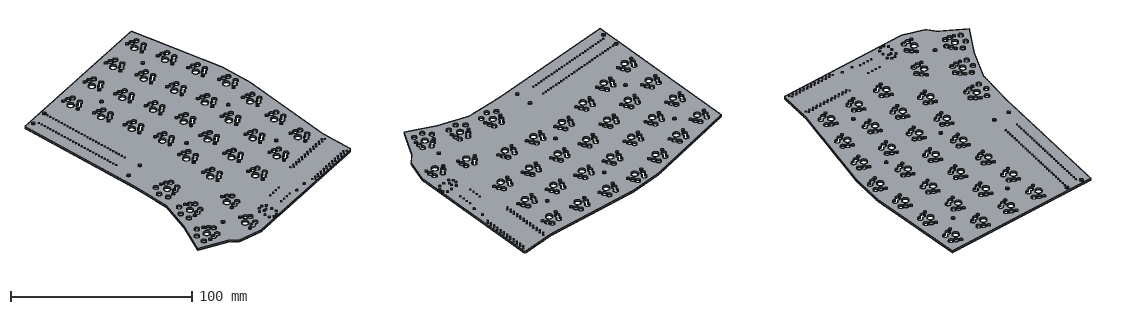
import cadquery as cq


BOARD_WIDTH = 153.0
BOARD_LENGTH = 121.3
THICKNESS = 1.5
TOP_Y = 104.0
TIP_Y = TOP_Y - BOARD_LENGTH
SQUARE_CORNER = (BOARD_WIDTH, 96.7)
SQUARE_CORNER_RADIUS = 0.8
OUTLINE = [
    (0, 0),
    (0, 95.5),
    (57.0, TOP_Y),
    (76.3, TOP_Y),
    (133.1, SQUARE_CORNER[1]),
    SQUARE_CORNER,
    (BOARD_WIDTH, 15.8),
    (148.5, 2.5),
    (143.7, -1.8),
    (134.5, TIP_Y),
    (117.8, -8.1),
    (100.0, -1.2),
    (77.5, 0),
]

PIN_PITCH = 28.0 / 11
HALF_PITCH = PIN_PITCH / 2

SWITCH_CENTRE_DIAMETER = 4.1
THUMB_CENTRE_DIAMETER = 4.0
SWITCH_SIDE_DIAMETER = 1.8
SWITCH_PIN_DIAMETER = 3.0
SWITCH_SIDE_REACH = 2 * PIN_PITCH
LOW_PROFILE_PIN_DROP = 6.0
LOW_PROFILE_SIDE_PIN = (5.0, 3.8)

KEY_PITCH = 114.5 / 6
FIRST_KEY_X = 9.5
FIRST_COLUMN_TOP_Y = 86.1
COLUMN_STEP_Y = 5.9 / 3
COLUMN_STEPS = [0, 1.5, 3, 4.6, 3, 1.5, 0]
COLUMN_KEY_COUNTS = [4, 4, 4, 4, 4, 4, 3]

TURNED_KEYS = [(124.5, 21.5, -20), (142.5, 15.0, -20)]
THUMB_KEYS = [(92.3, 9.5, -10), (112.3, 4.1, -20), (131.0, -4.6, -30)]

SCREW_DIAMETER = 2.1
BOARD_SCREWS = [(20.5, 79.5), (77.9, 82.6), (116.1, 76.7), (21.3, 41.6), (78.3, 44.7), (132.5, 8.0)]
DISPLAY_SCREWS = [(x, y) for x in (2.1, 68.8) for y in (4.9, 14.8)]

HEADER_DIAMETER = 0.81
DISPLAY_PIN_COUNT = 28
DISPLAY_PIN_PITCH = 54.0 / (DISPLAY_PIN_COUNT - 1)
DISPLAY_FIRST_PIN = (4.5, 7.0)
DISPLAY_ROW_GAP = 3 * PIN_PITCH

CONTROLLER_PIN_COUNT = 12
CONTROLLER_FIRST_PIN = (135.3, 64.9)
CONTROLLER_ROW_GAP = 6 * PIN_PITCH

SMALL_HEADER_PIN_COUNT = 4
SMALL_HEADER_FIRST_PIN = (140.1, 40.5)
SMALL_HEADER_ROW_GAP = 3 * PIN_PITCH

RESET_DIAMETER = 1.3
RESET_PINS = [(149.2, 52.8), (149.2, 59.4)]

JACK_AXIS_Y = 29.8
JACK_PIN_DIAMETER = 1.3
JACK_OUTER_PINS_X = [143.4, 147.2, 150.2]
JACK_OUTER_OFFSET = 3.0
JACK_INNER_PINS_X = [141.7, 152.1]
JACK_INNER_OFFSET = 1.0
JACK_PEG_DIAMETER = 1.2
JACK_PEG_X = 144.9
JACK_PEG_OFFSET = 0.8


def drill(points, diameter):
    """Cutters for through holes of one diameter at the given points."""
    return cq.Workplane("XY").pushPoints(points).circle(diameter / 2).extrude(THICKNESS)


def mirrored_in_x(points):
    return points + [(-x, y) for x, y in points]


def placed(points, key):
    """Points given relative to a key, moved to its place and angle on the board."""
    key_x, key_y, angle = key
    frame = cq.Location(cq.Vector(key_x, key_y, 0), cq.Vector(0, 0, 1), angle)
    moved = [(frame * cq.Location(cq.Vector(x, y, 0))).toTuple()[0] for x, y in points]
    return [(x, y) for x, y, _ in moved]


def pin_grid(first_pin, columns, rows, column_gap, row_gap):
    first_x, first_y = first_pin
    return [(first_x + i * column_gap, first_y + j * row_gap) for i in range(columns) for j in range(rows)]


def mirrored_about_jack(xs, offset):
    return [(x, JACK_AXIS_Y + side * offset) for x in xs for side in (-1, 1)]


def finger_keys():
    keys = []
    for column, (steps, count) in enumerate(zip(COLUMN_STEPS, COLUMN_KEY_COUNTS)):
        x = FIRST_KEY_X + column * KEY_PITCH
        top_y = FIRST_COLUMN_TOP_Y + steps * COLUMN_STEP_Y
        keys += [(x, top_y - row * KEY_PITCH, 0) for row in range(count)]
    return keys


def centres(keys):
    return [(x, y) for x, y, _ in keys]


def switch_holes():
    side_holes = mirrored_in_x([(SWITCH_SIDE_REACH, 0)])
    pins = mirrored_in_x([(PIN_PITCH, 2 * PIN_PITCH), (3 * HALF_PITCH, PIN_PITCH)])
    side_x, side_drop = LOW_PROFILE_SIDE_PIN
    low_profile_pins = [(0, -LOW_PROFILE_PIN_DROP)] + mirrored_in_x([(side_x, -side_drop)])

    plain_keys = finger_keys() + TURNED_KEYS
    side_points, pin_points = [], []
    for key in plain_keys + THUMB_KEYS:
        side_points += placed(side_holes, key)
        pin_points += placed(pins, key)
    for key in THUMB_KEYS:
        pin_points += placed(low_profile_pins, key)

    return [
        drill(centres(plain_keys), SWITCH_CENTRE_DIAMETER),
        drill(centres(THUMB_KEYS), THUMB_CENTRE_DIAMETER),
        drill(side_points, SWITCH_SIDE_DIAMETER),
        drill(pin_points, SWITCH_PIN_DIAMETER),
    ]


def header_holes():
    display = pin_grid(DISPLAY_FIRST_PIN, DISPLAY_PIN_COUNT, 2, DISPLAY_PIN_PITCH, DISPLAY_ROW_GAP)
    small_header = pin_grid(
        SMALL_HEADER_FIRST_PIN, 2, SMALL_HEADER_PIN_COUNT, SMALL_HEADER_ROW_GAP, PIN_PITCH
    )
    controller = pin_grid(CONTROLLER_FIRST_PIN, 2, CONTROLLER_PIN_COUNT, CONTROLLER_ROW_GAP, PIN_PITCH)
    second_controller = [(x + HALF_PITCH, y + HALF_PITCH) for x, y in controller]
    return [drill(display + small_header + controller + second_controller, HEADER_DIAMETER)]


def jack_holes():
    pins = mirrored_about_jack(JACK_OUTER_PINS_X, JACK_OUTER_OFFSET)
    pins += mirrored_about_jack(JACK_INNER_PINS_X, JACK_INNER_OFFSET)
    pegs = mirrored_about_jack([JACK_PEG_X], JACK_PEG_OFFSET)
    return [drill(pins, JACK_PIN_DIAMETER), drill(pegs, JACK_PEG_DIAMETER)]


def board():
    blank = cq.Workplane("XY").polyline(OUTLINE).close().extrude(THICKNESS)
    corner_edge = cq.selectors.NearestToPointSelector((*SQUARE_CORNER, THICKNESS / 2))
    return blank.edges(corner_edge).fillet(SQUARE_CORNER_RADIUS)


result = board()
cutters = switch_holes() + header_holes() + jack_holes()
cutters.append(drill(RESET_PINS, RESET_DIAMETER))
cutters.append(drill(BOARD_SCREWS + DISPLAY_SCREWS, SCREW_DIAMETER))
for cutter in cutters:
    result = result.cut(cutter)